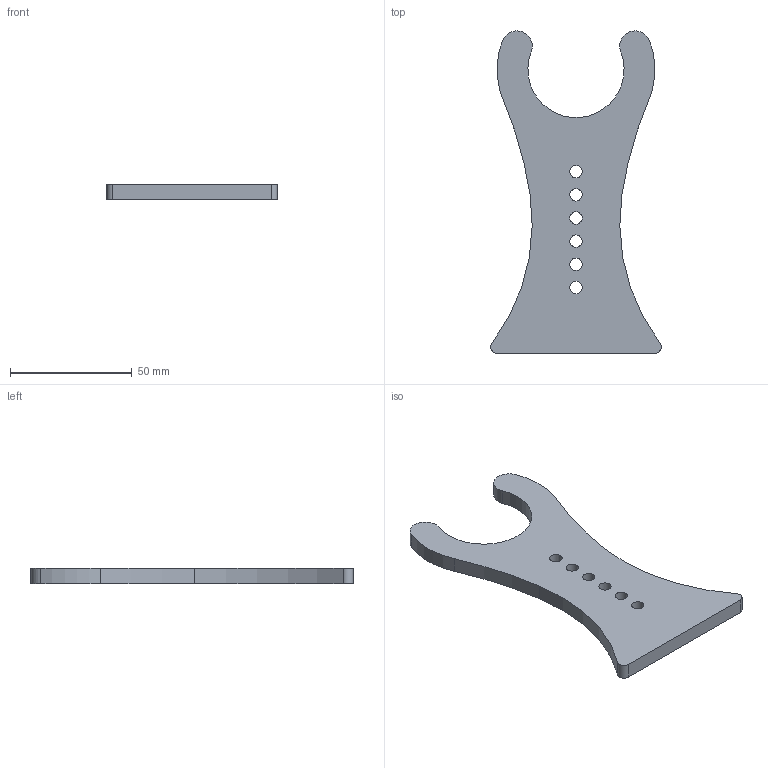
import cadquery as cq
import math

base_width = 70.27
total_height = 132.58
thickness = 6.35

arm_width = 12.7
opening_radius = 19.8
hook_center_y = 116.72

waist_half_width = 18.02
waist_y = 53.3
flank_join_y = 65.3
base_corner_radius = 2.54

hole_diameter = 5.08
hole_pitch = 9.525
hole_count = 6
first_hole_y = 27.02

tip_radius = arm_width / 2
hook_outer_radius = opening_radius + arm_width
arm_center_radius = opening_radius + tip_radius
tip_center_y = total_height - tip_radius
tip_angle = math.asin((tip_center_y - hook_center_y) / arm_center_radius)

corner_center_x = base_width / 2 - base_corner_radius
corner_inset = corner_center_x - waist_half_width
corner_drop = waist_y - base_corner_radius
lower_radius = (
    (corner_inset**2 + corner_drop**2 - base_corner_radius**2) / (2 * (corner_inset + base_corner_radius))
)
lower_center = (waist_half_width + lower_radius, waist_y)

join_angle = math.asin((flank_join_y - waist_y) / lower_radius)
rise_from_hook = waist_y - hook_center_y
tangent_sum = lower_radius + hook_outer_radius
along_join_normal = lower_center[0] * math.cos(join_angle) - rise_from_hook * math.sin(join_angle)
radius_gain = (
    (lower_center[0]**2 + rise_from_hook**2 - tangent_sum**2) / (2 * (tangent_sum - along_join_normal))
)
upper_radius = lower_radius + radius_gain
upper_center = (
    lower_center[0] + radius_gain * math.cos(join_angle),
    lower_center[1] - radius_gain * math.sin(join_angle),
)


def polar(center, radius, angle):
    """Point on a circle, with the angle in radians from +X."""
    return (center[0] + radius * math.cos(angle), center[1] + radius * math.sin(angle))


def mirrored(point):
    """The same point on the other side of the centre line."""
    return (-point[0], point[1])


def right_side_arcs():
    """Arcs of the right half, from the bottom edge to the opening's low point, as (start, middle, end)."""
    hook_center = (0, hook_center_y)
    corner_center = (corner_center_x, base_corner_radius)
    tip_center = polar(hook_center, arm_center_radius, tip_angle)
    corner_angle = math.atan2(corner_drop, lower_center[0] - corner_center_x)
    hook_angle = math.atan2(upper_center[1] - hook_center_y, upper_center[0])

    circles = [
        (corner_center, base_corner_radius, -math.pi / 2, corner_angle),
        (lower_center, lower_radius, math.pi + corner_angle, math.pi - join_angle),
        (upper_center, upper_radius, math.pi - join_angle, math.pi + hook_angle),
        (hook_center, hook_outer_radius, hook_angle, tip_angle),
        (tip_center, tip_radius, tip_angle, tip_angle + math.pi),
        (hook_center, opening_radius, tip_angle, -math.pi / 2),
    ]
    return [
        (polar(center, radius, start), polar(center, radius, (start + end) / 2), polar(center, radius, end))
        for center, radius, start, end in circles
    ]


def make_plate():
    """Symmetric plate outline, extruded upward."""
    arcs = right_side_arcs()
    bottom_right = arcs[0][0]
    outline = cq.Workplane("XY").moveTo(*mirrored(bottom_right)).lineTo(*bottom_right)
    for _, middle, end in arcs:
        outline = outline.threePointArc(middle, end)
    for start, middle, _ in reversed(arcs):
        outline = outline.threePointArc(mirrored(middle), mirrored(start))
    return outline.close().extrude(thickness)


def make_holes():
    """Row of through holes along the centre line."""
    centers = [(0, first_hole_y + i * hole_pitch) for i in range(hole_count)]
    return cq.Workplane("XY").pushPoints(centers).circle(hole_diameter / 2).extrude(thickness)


result = make_plate().cut(make_holes())